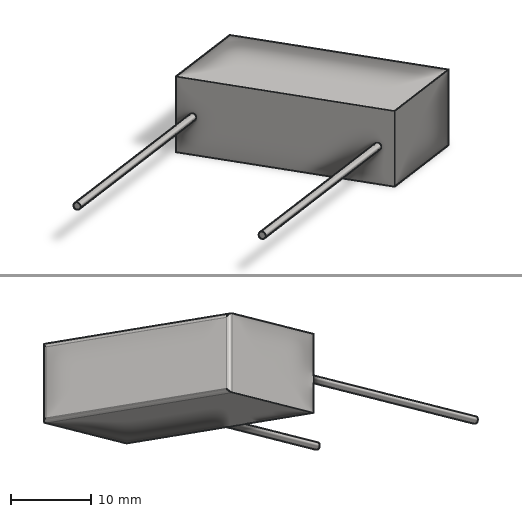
import cadquery as cq

case_width = 30.0
case_depth = 16.8
case_height = 10.1
rear_edge_radius = 0.5

overall_depth = 51.8
lead_diameter = 1.0
lead_pitch = 25.4
lead_length = overall_depth - case_depth


def make_case():
    """Block centred on X and Z, with its front face on Y = 0."""
    block = cq.Workplane("XY").box(case_width, case_depth, case_height, centered=(True, False, True))
    return block.faces(">Y").edges().fillet(rear_edge_radius)


def make_lead(x):
    """Round wire that starts on the front face of the case and runs toward -Y."""
    return cq.Workplane("XZ").center(x, 0).circle(lead_diameter / 2).extrude(lead_length)


case = make_case()
leads = [make_lead(side * lead_pitch / 2) for side in (-1, 1)]

result = cq.Compound.makeCompound([case.val(), *[lead.val() for lead in leads]])